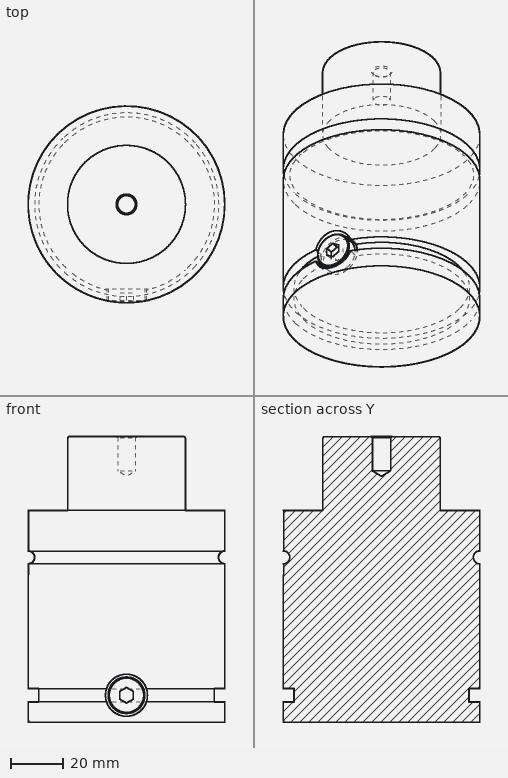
import cadquery as cq
import math

total_height = 109.0
body_diameter = 75.0
body_radius = body_diameter / 2
body_height = 80.8

rod_diameter = 45.0
rod_fillet = 1.0
rod_hole_diameter = 6.8
rod_hole_depth = 13.1
rod_hole_chamfer = 0.5
drill_point_angle = 118.0

round_groove_height = 62.9
round_groove_radius = 2.4

square_groove_bottom = 7.8
square_groove_width = 5.0
square_groove_radius = 33.5

plug_height = square_groove_bottom + square_groove_width / 2
plug_diameter = 14.0
plug_chamfer = 0.4
plug_face_distance = 37.0
pocket_diameter = 16.0
pocket_floor_distance = 32.2
hex_across_flats = 5.1
hex_depth = 3.3


def make_body():
    """Body with both ring grooves, and the rounded-edge rod on top."""
    body = cq.Workplane("XY").circle(body_radius).extrude(body_height)
    rod = (
        cq.Workplane("XY")
        .circle(rod_diameter / 2)
        .extrude(total_height)
        .faces(">Z")
        .fillet(rod_fillet)
    )
    round_groove = (
        cq.Workplane("XZ")
        .center(body_radius, round_groove_height)
        .circle(round_groove_radius)
        .revolve(360, (-body_radius, 0), (-body_radius, 1))
    )
    square_groove = (
        cq.Workplane("XY")
        .workplane(offset=square_groove_bottom)
        .circle(body_radius)
        .circle(square_groove_radius)
        .extrude(square_groove_width)
    )
    return body.cut(round_groove).cut(square_groove).union(rod)


def make_rod_hole():
    """Blind drilled hole with a conical tip and a chamfered mouth."""
    radius = rod_hole_diameter / 2
    tip_length = radius / math.tan(math.radians(drill_point_angle / 2))
    bottom = total_height - rod_hole_depth
    return (
        cq.Workplane("XZ")
        .moveTo(0, total_height)
        .lineTo(radius + rod_hole_chamfer, total_height)
        .lineTo(radius, total_height - rod_hole_chamfer)
        .lineTo(radius, bottom)
        .lineTo(0, bottom - tip_length)
        .close()
        .revolve(360, (0, 0), (0, 1))
    )


def plug_plane(distance):
    """Sketch plane facing -Y at a distance from the body axis, centred on the plug."""
    return cq.Workplane("XZ", origin=(0, -distance, plug_height))


def make_pocket():
    """Round pocket that surrounds the plug and opens through the body side."""
    depth = body_radius - pocket_floor_distance
    return plug_plane(pocket_floor_distance).circle(pocket_diameter / 2).extrude(depth)


def make_plug():
    """Chamfered plug with a hexagonal key socket, corners up and down."""
    length = plug_face_distance - pocket_floor_distance
    plug = (
        plug_plane(pocket_floor_distance)
        .circle(plug_diameter / 2)
        .extrude(length)
        .faces("<Y")
        .chamfer(plug_chamfer)
    )
    hex_across_corners = hex_across_flats / math.cos(math.radians(30))
    socket = (
        plug_plane(plug_face_distance)
        .transformed(rotate=(0, 0, 30))
        .polygon(6, hex_across_corners)
        .extrude(-hex_depth)
    )
    return plug.cut(socket)


result = make_body().cut(make_rod_hole()).cut(make_pocket()).union(make_plug())